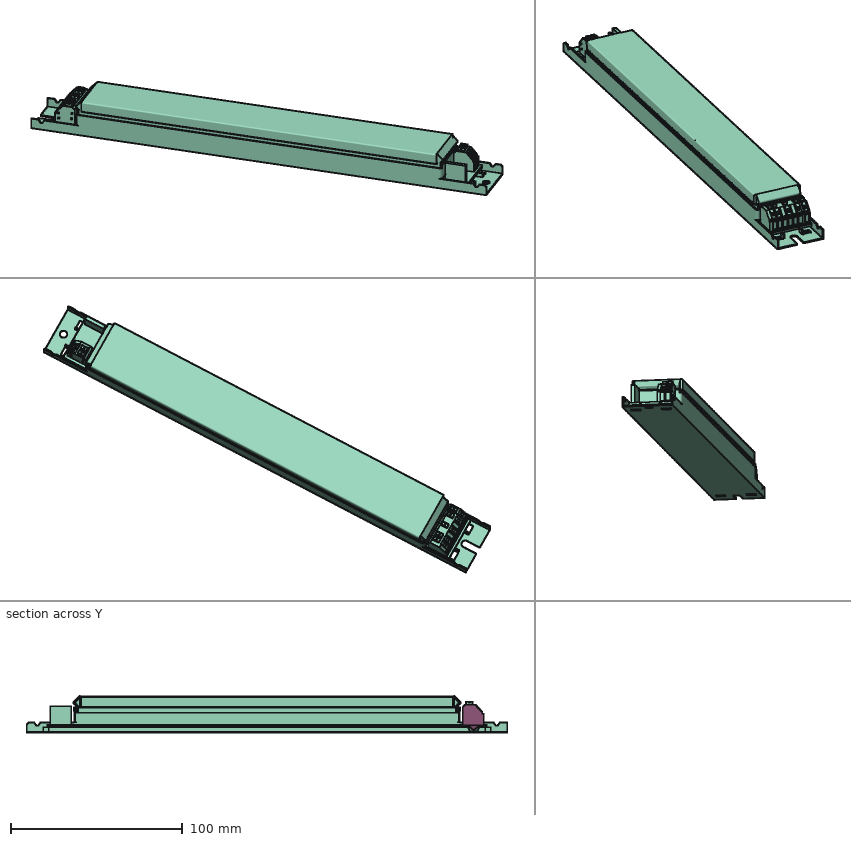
import cadquery as cq

LENGTH = 280.0
WIDTH = 30.0
SHEET = 0.8
LOW_WALL = 6.2
HIGH_WALL = 13.0
HIGH_START = 27.5
HIGH_END = LENGTH - HIGH_START
BEND = 1.5
END_WALL_TOP = 14.8
NOTCH_INSET = 6.2
NOTCH_WIDTH = 3.5
NOTCH_FLOOR = 0.8
NOTCH_DEPTH = 2.0
CORNER_CUT = 1.0
MOUNT_WIDTH = 4.2
MOUNT_SLOT_END = 10.5
MOUNT_HOLE_INSET = 5.0
WINDOW_START = 9.5
WINDOW_LENGTH = 3.5
WINDOW_INNER = 6.5
WINDOW_WIDTH = 5.3

BOARD_INSET = 12.0
BOARD_WIDTH = 27.0
BOARD_BOTTOM = 3.5
BOARD_THICKNESS = 1.5
BOARD_TOP = BOARD_BOTTOM + BOARD_THICKNESS
LUG_X = 19.5
LUG_Y = -0.8
LUG_RADIUS = 3.5
LUG_TIP_RADIUS = 2.2
LUG_HEIGHT = 2.2

COVER_TOP = 21.5
COVER_INSET = 30.8
COVER_SIDE_BOTTOM = 15.5
COVER_EDGE_RADIUS = 0.8
SKIRT_STEP = 1.5
SKIRT_SHOULDER = 14.5
SKIRT_BOTTOM = 11.8
SKIRT_INSET = 28.8
NOSE_REACH = 4.0
NOSE_BEND = 0.8
NOSE_SHEET = 1.0

PITCH = 3.5
THIN_WALL = 0.3
BLOCK_DEPTH = 12.3
FACE_TOP = 11.2
LEDGE = 0.8
SLOPE_BOTTOM = 12.3
SLOPE_END = 4.8
BLOCK_TOP = 16.5
BACK_CUT = 1.5
ENTRY_WIDTH = 2.5
ENTRY_BOTTOM = 5.5
ENTRY_TOP = 10.5
ENTRY_DEPTH = 0.3
WIRE_HOLE = 2.0
WIRE_HOLE_DEPTH = 2.8
BUTTON_START = 6.5
BUTTON_LENGTH = 4.0
BUTTON_WIDTH = 2.2
BUTTON_HEIGHT = 1.7
BUTTON_SLIT = 0.5
SOCKET = 0.8
SOCKET_DEPTH = 0.5
SOCKETS = [(2.2, 11.5), (2.5, 8.0), (10.5, 12.3), (10.5, 9.0)]
TERMINAL_INSET = 13.7
MAIN_EDGE = 13.2
MAIN_POLES = 6
MAIN_LIVE_POLES = (0, 1, 3, 5)
MAIN_START_WALL = 1.7
MAIN_END_WALL = 0.8
MAIN_WIDTH = MAIN_START_WALL + MAIN_POLES * PITCH + MAIN_END_WALL
SUPPLY_START_WALL = 1.5
SUPPLY_EDGE = 3.0

PLATE_Y = -12.3
PLATE_THICKNESS = 2.2
PLATE_TOP = 15.7


def box(x0, x1, y0, y1, z0, z1):
    return cq.Workplane("XY").box(x1 - x0, y1 - y0, z1 - z0, centered=False).translate((x0, y0, z0))


def across(points, width):
    """Outline of X and Z points, extruded to the given width about the centre plane."""
    return cq.Workplane("XZ").polyline(points).close().extrude(width / 2, both=True)


def make_channel():
    half = WIDTH / 2
    outer = box(0, LENGTH, -half, half, 0, LOW_WALL)
    inner = box(0, LENGTH, -half + SHEET, half - SHEET, SHEET, LOW_WALL)
    channel = outer.cut(inner)
    for x in (NOTCH_INSET, LENGTH - NOTCH_INSET):
        notch = [
            (x - NOTCH_WIDTH / 2, LOW_WALL),
            (x - NOTCH_FLOOR / 2, LOW_WALL - NOTCH_DEPTH),
            (x + NOTCH_FLOOR / 2, LOW_WALL - NOTCH_DEPTH),
            (x + NOTCH_WIDTH / 2, LOW_WALL),
        ]
        channel = channel.cut(across(notch, WIDTH))
    corner = [(LENGTH - CORNER_CUT, LOW_WALL), (LENGTH, LOW_WALL), (LENGTH, LOW_WALL - CORNER_CUT)]
    return channel.cut(across(corner, WIDTH))


def make_raised_walls():
    """Closed band with bent corners, carrying a taller plate at each end."""
    half = WIDTH / 2
    band = box(HIGH_START, HIGH_END, -half, half, LOW_WALL, HIGH_WALL).edges("|Z").fillet(BEND)
    hollow = box(
        HIGH_START + SHEET, HIGH_END - SHEET, -half + SHEET, half - SHEET, LOW_WALL, HIGH_WALL
    )
    band = band.cut(hollow.edges("|Z").fillet(BEND - SHEET))
    plate_half = half - BEND
    for x in (HIGH_START, HIGH_END - SHEET):
        band = band.union(box(x, x + SHEET, -plate_half, plate_half, LOW_WALL, END_WALL_TOP))
    return band


def cut_mounting(base):
    radius = MOUNT_WIDTH / 2
    slot_centre = MOUNT_SLOT_END - radius
    base = base.cut(box(0, slot_centre, -radius, radius, 0, SHEET))
    for x in (slot_centre, LENGTH - MOUNT_HOLE_INSET):
        base = base.cut(cq.Workplane("XY").center(x, 0).circle(radius).extrude(SHEET))
    return base


def add_support_tabs(base):
    """Windows in the floor, each with the tab bent up from its inner edge."""
    for x in (WINDOW_START, LENGTH - WINDOW_START - WINDOW_LENGTH):
        x_end = x + WINDOW_LENGTH
        for side in (-1, 1):
            inner = side * WINDOW_INNER
            outer = side * (WINDOW_INNER + WINDOW_WIDTH)
            tab = side * (WINDOW_INNER - SHEET)
            base = base.cut(box(x, x_end, min(inner, outer), max(inner, outer), 0, SHEET))
            base = base.union(box(x, x_end, min(inner, tab), max(inner, tab), 0, BOARD_BOTTOM))
    return base


def make_base():
    base = make_channel().union(make_raised_walls())
    return add_support_tabs(cut_mounting(base))


def make_board():
    half = BOARD_WIDTH / 2
    board = box(BOARD_INSET, LENGTH - BOARD_INSET, -half, half, BOARD_BOTTOM, BOARD_TOP)
    root = cq.Vector(LUG_X, LUG_Y, BOARD_BOTTOM)
    lug = cq.Solid.makeCone(LUG_RADIUS, LUG_TIP_RADIUS, LUG_HEIGHT, root, cq.Vector(0, 0, -1))
    return board.union(cq.Workplane(lug))


def make_cover_shell():
    """Upper box, open at the bottom, with its side edges drawn in to meet the skirt."""
    half = WIDTH / 2
    end = LENGTH - COVER_INSET
    shell = box(COVER_INSET, end, -half, half, COVER_SIDE_BOTTOM, COVER_TOP)
    shell = shell.edges("|X and >Z").fillet(COVER_EDGE_RADIUS)
    inner_half = half - SHEET
    hollow = box(
        COVER_INSET + SHEET, end - SHEET,
        -inner_half, inner_half, COVER_SIDE_BOTTOM, COVER_TOP - SHEET,
    )
    shell = shell.cut(hollow)
    skirt_half = half - SKIRT_STEP
    for side in (-1, 1):
        shoulder = [
            (side * half, COVER_SIDE_BOTTOM),
            (side * skirt_half, SKIRT_SHOULDER),
            (side * (skirt_half - SHEET), SKIRT_SHOULDER),
            (side * inner_half, COVER_SIDE_BOTTOM),
        ]
        strip = cq.Workplane("YZ", origin=(COVER_INSET, 0, 0)).polyline(shoulder).close()
        shell = shell.union(strip.extrude(end - COVER_INSET))
        edges = sorted((side * skirt_half, side * (skirt_half - SHEET)))
        shell = shell.union(box(COVER_INSET, end, *edges, SKIRT_BOTTOM, SKIRT_SHOULDER))
    return shell


def nose_outline(width):
    tip_x = COVER_INSET - NOSE_REACH
    tip_z = COVER_TOP - NOSE_REACH
    outline = [
        (COVER_INSET, COVER_TOP),
        (tip_x, tip_z),
        (SKIRT_INSET, tip_z - (SKIRT_INSET - tip_x)),
        (SKIRT_INSET, SKIRT_BOTTOM),
        (COVER_INSET, SKIRT_BOTTOM),
    ]
    return across(outline, width).edges("|Y and <X").fillet(NOSE_BEND)


def make_cover():
    width = WIDTH - 2 * SKIRT_STEP
    hollow = nose_outline(width - 2 * SHEET).translate((NOSE_SHEET, 0, 0))
    nose = nose_outline(width).cut(hollow)
    middle = (LENGTH / 2, 0, 0)
    return make_cover_shell().union(nose).union(nose.mirror("YZ", basePointVector=middle))


def make_button(y):
    """Release button on the block top, split in two by a slit."""
    half = BUTTON_WIDTH / 2
    end = BUTTON_START + BUTTON_LENGTH
    button = box(BUTTON_START, end, y - half, y + half, BLOCK_TOP, BLOCK_TOP + BUTTON_HEIGHT)
    middle = BUTTON_START + BUTTON_LENGTH / 2
    slit = box(
        middle - BUTTON_SLIT / 2, middle + BUTTON_SLIT / 2,
        y - half, y + half, BLOCK_TOP + BUTTON_HEIGHT - BUTTON_SLIT, BLOCK_TOP + BUTTON_HEIGHT,
    )
    return button.cut(slit)


def make_terminal(poles, live_poles, start_wall, end_wall):
    """Block with its wire side at X = 0, running from Y = 0 toward -Y."""
    width = start_wall + poles * PITCH + end_wall
    profile = [
        (0, BOARD_TOP),
        (0, FACE_TOP),
        (LEDGE, FACE_TOP),
        (LEDGE, SLOPE_BOTTOM),
        (SLOPE_END, BLOCK_TOP),
        (BLOCK_DEPTH - BACK_CUT, BLOCK_TOP),
        (BLOCK_DEPTH, BLOCK_TOP - BACK_CUT),
        (BLOCK_DEPTH, BOARD_TOP),
    ]
    block = cq.Workplane("XZ").polyline(profile).close().extrude(width)
    slope_x = (LEDGE + SLOPE_END) / 2
    slope_z = (SLOPE_BOTTOM + BLOCK_TOP) / 2
    slope_recess = [
        (LEDGE, SLOPE_BOTTOM),
        (SLOPE_END, BLOCK_TOP),
        (SLOPE_END + ENTRY_DEPTH, BLOCK_TOP),
        (LEDGE + ENTRY_DEPTH, SLOPE_BOTTOM),
    ]
    half = ENTRY_WIDTH / 2
    for pole in range(poles):
        y = -start_wall - (pole + 0.5) * PITCH
        block = block.cut(box(0, ENTRY_DEPTH, y - half, y + half, ENTRY_BOTTOM, ENTRY_TOP))
        block = block.cut(across(slope_recess, ENTRY_WIDTH).translate((0, y, 0)))
        if pole in live_poles:
            mouth = cq.Vector(slope_x, y, slope_z)
            inward = cq.Vector(1, 0, -1)
            hole = cq.Solid.makeCylinder(WIRE_HOLE / 2, WIRE_HOLE_DEPTH, mouth, inward)
            block = block.cut(cq.Workplane(hole)).union(make_button(y))
    sockets = cq.Workplane("XZ", origin=(0, -width + SOCKET_DEPTH, 0)).pushPoints(SOCKETS)
    return block.cut(sockets.circle(SOCKET / 2).extrude(SOCKET_DEPTH))


def make_plate():
    start = LENGTH - TERMINAL_INSET - BLOCK_DEPTH
    end = LENGTH - TERMINAL_INSET
    return box(start, end, PLATE_Y, PLATE_Y + PLATE_THICKNESS, BOARD_TOP, PLATE_TOP)


base = make_base()
board = make_board()
cover = make_cover()

main_terminal = make_terminal(MAIN_POLES, MAIN_LIVE_POLES, MAIN_START_WALL, MAIN_END_WALL)
main_terminal = main_terminal.translate((TERMINAL_INSET, MAIN_EDGE, 0))

single_terminal = make_terminal(1, (0,), 0, THIN_WALL)
single_terminal = single_terminal.translate((TERMINAL_INSET, MAIN_EDGE - MAIN_WIDTH, 0))

supply_terminal = make_terminal(2, (0, 1), SUPPLY_START_WALL, THIN_WALL)
supply_terminal = supply_terminal.rotate((0, 0, 0), (0, 0, 1), 180)
supply_terminal = supply_terminal.translate((LENGTH - TERMINAL_INSET, SUPPLY_EDGE, 0))

plate = make_plate()

bodies = [base, board, cover, main_terminal, single_terminal, supply_terminal, plate]
result = cq.Compound.makeCompound([body.val() for body in bodies])